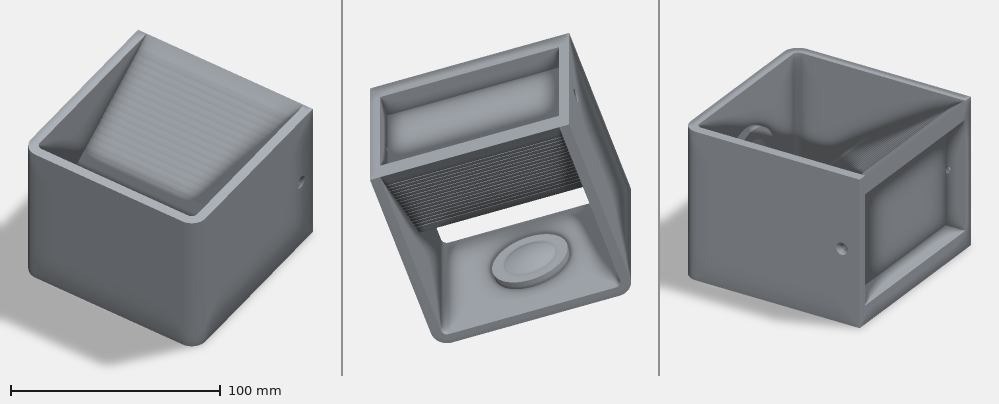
import cadquery as cq
import math

width = 100.0
depth = 100.0
height = 80.0
wall = 5.0
corner_radius = 8.0
inner_corner_radius = corner_radius - wall

hole_diameter = 3.5
countersink_diameter = 6.5
countersink_angle = 90.0
hole_from_back = 10.0

reflector_depth = 60.0
tip_radius = 3.0
reflector_width = width - 2 * wall

step_count = 16
step_pitch = 3.5
step_rise = 0.4
first_step = 7.8

channel_depth = 11.0
channel_lip = 3.0

disc_diameter = 38.0
disc_thickness = 4.0
lens_diameter = 26.0
lens_height = 2.0
front_wall_inside = -depth / 2 + wall


def make_housing():
    housing = (
        cq.Workplane("XY")
        .box(width, depth, height)
        .edges("|Z and <Y")
        .fillet(corner_radius)
    )
    inside = (
        cq.Workplane("XY")
        .box(width - 2 * wall, depth - wall, height)
        .edges("|Z and <Y")
        .fillet(inner_corner_radius)
        .translate((0, wall / 2, 0))
    )
    housing = housing.cut(inside)
    for side in ("<X", ">X"):
        housing = (
            housing.faces(side)
            .workplane(origin=(0, depth / 2 - hole_from_back, 0))
            .cskHole(hole_diameter, countersink_diameter, countersink_angle, depth=wall)
        )
    return housing


def slope_angle():
    """Angle of the sloping faces, which run from the back edges to touch the tip circle."""
    run = reflector_depth - tip_radius
    rise = height / 2
    return math.atan2(rise, run) - math.asin(tip_radius / math.hypot(run, rise))


def upper_outline():
    """Points (Y, Z) of the upper sloping face, from the back edge to the rounded tip."""
    angle = slope_angle()
    back = depth / 2

    def on_slope(along):
        return back - along * math.cos(angle), height / 2 - along * math.sin(angle)

    points = [on_slope(0), on_slope(first_step)]
    for step in range(1, step_count + 1):
        y, z = on_slope(first_step + step * step_pitch)
        points.append((y, z - step_rise))
        points.append((y, z))
    tip_centre = back - reflector_depth + tip_radius
    points.append((tip_centre - tip_radius * math.sin(angle), tip_radius * math.cos(angle)))
    return points


def make_reflector():
    upper = upper_outline()
    lower = [(y, -z) for y, z in reversed(upper)]
    tip = (depth / 2 - reflector_depth, 0)
    reflector = (
        cq.Workplane("YZ")
        .polyline(upper)
        .threePointArc(tip, lower[0])
        .polyline(lower, includeCurrent=False)
        .close()
        .extrude(reflector_width / 2, both=True)
    )
    channel_height = height - 2 * (channel_depth * math.tan(slope_angle()) + channel_lip)
    channel = cq.Workplane("XY").box(reflector_width, channel_depth, channel_height)
    return reflector.cut(channel.translate((0, (depth - channel_depth) / 2, 0)))


def make_disc():
    return (
        cq.Workplane("XZ", origin=(0, front_wall_inside, 0))
        .circle(disc_diameter / 2)
        .extrude(-disc_thickness)
    )


def make_lens():
    radius = lens_diameter / 2
    sphere_radius = (radius**2 + lens_height**2) / (2 * lens_height)
    base = front_wall_inside + disc_thickness
    middle = radius / 2
    sag = sphere_radius - math.sqrt(sphere_radius**2 - middle**2)
    return (
        cq.Workplane("XY")
        .moveTo(0, base)
        .lineTo(radius, base)
        .threePointArc((middle, base + lens_height - sag), (0, base + lens_height))
        .close()
        .revolve(360, (0, 0, 0), (0, 1, 0))
    )


housing = make_housing()
reflector = make_reflector()
disc = make_disc()
lens = make_lens()

result = cq.Compound.makeCompound([housing.val(), reflector.val(), disc.val(), lens.val()])